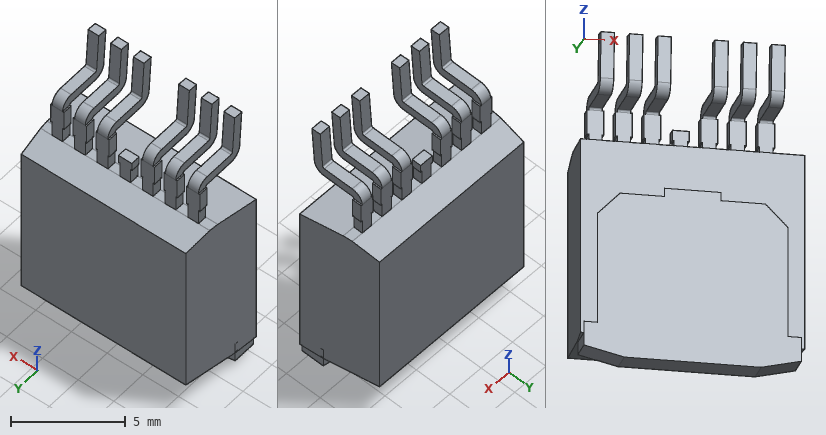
import cadquery as cq
import math


CASE_WIDTH = 10.0
CASE_DEPTH = 4.4
CASE_BOTTOM = 1.0
CASE_SHOULDER = 9.97
CASE_TOP = 10.27
CASE_BOTTOM_BACK = 1.38
SIDE_DRAFT = 5.0

TAB_THICKNESS = 1.27
TAB_FOOT_HALF_WIDTH = 4.85
TAB_FOOT_BOTTOM = 0.42
TAB_FOOT_TOP = 1.52
TAB_TIP_HALF_WIDTH = 3.05
TAB_HALF_WIDTH = 4.24
TAB_TOP = 7.58
TAB_CORNER = 1.0
TAB_TONGUE_HALF_WIDTH = 1.26
TAB_TONGUE_HEIGHT = 0.38

LEAD_PITCH = 1.27
LEADS_PER_SIDE = 3
LEAD_THICKNESS = 0.5
LEAD_WIDTH = 0.6
LEAD_FRONT = 2.4
SHOULDER_WIDTH = 0.75
SHOULDER_BOTTOM = 11.1
STUB_TOP = 11.57
BEND_START = 12.22
BEND_INNER_RADIUS = 0.1
TIP_TILT = 4.0
TIP_FRONT = -0.1
TIP_TOP = 15.0

LEAD_BACK = LEAD_FRONT + LEAD_THICKNESS
LEAD_MIDDLE = LEAD_FRONT + LEAD_THICKNESS / 2


def make_tab():
    right_side = [
        (TAB_TIP_HALF_WIDTH, 0),
        (TAB_FOOT_HALF_WIDTH, TAB_FOOT_BOTTOM),
        (TAB_FOOT_HALF_WIDTH, TAB_FOOT_TOP),
        (TAB_HALF_WIDTH, TAB_FOOT_TOP),
        (TAB_HALF_WIDTH, TAB_TOP - TAB_CORNER),
        (TAB_HALF_WIDTH - TAB_CORNER, TAB_TOP),
        (TAB_TONGUE_HALF_WIDTH, TAB_TOP),
        (TAB_TONGUE_HALF_WIDTH, TAB_TOP + TAB_TONGUE_HEIGHT),
    ]
    left_side = [(-x, z) for x, z in reversed(right_side)]
    return cq.Workplane("XZ").polyline(right_side + left_side).close().extrude(-TAB_THICKNESS)


def make_case(tab):
    side_profile = [
        (0, CASE_BOTTOM),
        (TAB_THICKNESS, CASE_BOTTOM),
        (CASE_DEPTH, CASE_BOTTOM_BACK),
        (CASE_DEPTH, CASE_SHOULDER),
        (LEAD_BACK, CASE_TOP),
        (LEAD_FRONT, CASE_TOP),
        (0, CASE_SHOULDER),
    ]
    block = cq.Workplane("YZ").polyline(side_profile).close().extrude(CASE_WIDTH / 2, both=True)

    front_half = CASE_WIDTH / 2
    back_half = front_half - CASE_DEPTH * math.tan(math.radians(SIDE_DRAFT))
    plan = [
        (-front_half, 0),
        (front_half, 0),
        (back_half, CASE_DEPTH),
        (-back_half, CASE_DEPTH),
    ]
    drafted = cq.Workplane("XY").polyline(plan).close().extrude(CASE_TOP)
    return block.intersect(drafted).cut(tab)


def lead_bar(width, bottom, top):
    height = top - bottom
    base = cq.Workplane("XY", origin=(0, LEAD_MIDDLE, bottom))
    return base.rect(width, LEAD_THICKNESS).extrude(height)


def lead_centreline():
    radius = BEND_INNER_RADIUS + LEAD_THICKNESS / 2
    tilt = math.radians(TIP_TILT)
    arm_z = BEND_START + radius

    tip_y = TIP_FRONT + LEAD_THICKNESS / 2 * math.cos(tilt)
    tip_z = TIP_TOP - LEAD_THICKNESS / 2 * math.sin(tilt)

    centre_z = arm_z + radius
    bend_end_z = centre_z - radius * math.sin(tilt)
    bend_end_y = tip_y + (tip_z - bend_end_z) * math.tan(tilt)
    centre_y = bend_end_y + radius * math.cos(tilt)

    return (
        cq.Workplane("YZ")
        .moveTo(LEAD_MIDDLE, CASE_TOP)
        .lineTo(LEAD_MIDDLE, BEND_START)
        .tangentArcPoint((LEAD_MIDDLE - radius, arm_z), relative=False)
        .lineTo(centre_y, arm_z)
        .tangentArcPoint((bend_end_y, bend_end_z), relative=False)
        .lineTo(tip_y, tip_z)
    )


def make_lead():
    section = cq.Workplane("XY", origin=(0, LEAD_MIDDLE, CASE_TOP)).rect(LEAD_WIDTH, LEAD_THICKNESS)
    strip = section.sweep(lead_centreline())
    return strip.union(lead_bar(SHOULDER_WIDTH, SHOULDER_BOTTOM, BEND_START))


def make_stub_lead():
    neck = lead_bar(LEAD_WIDTH, CASE_TOP, SHOULDER_BOTTOM)
    return neck.union(lead_bar(SHOULDER_WIDTH, SHOULDER_BOTTOM, STUB_TOP))


tab = make_tab()
case = make_case(tab)
stub_lead = make_stub_lead()

lead = make_lead()
leads = []
for step in range(1, LEADS_PER_SIDE + 1):
    for side in (-1, 1):
        leads.append(lead.translate((side * step * LEAD_PITCH, 0, 0)).val())

result = cq.Compound.makeCompound([case.val(), tab.val(), stub_lead.val(), *leads])